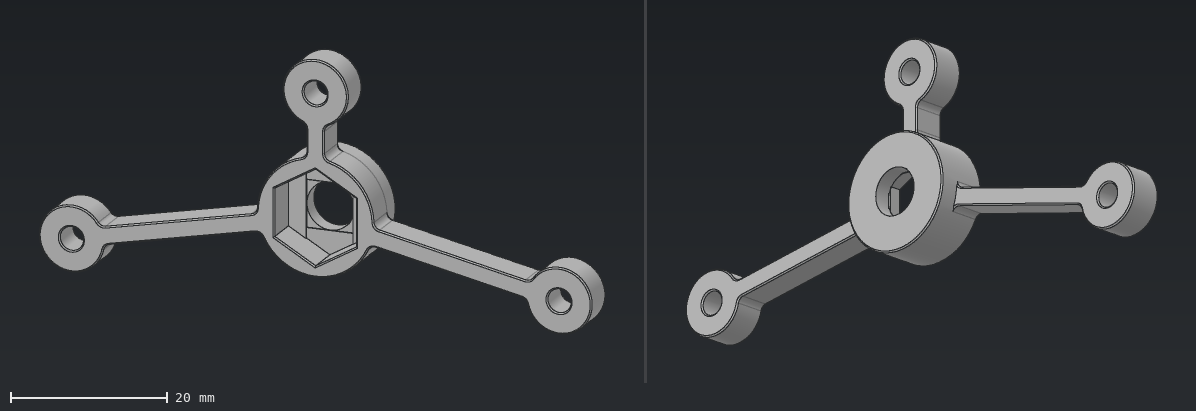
import cadquery as cq
import math

overall_width = 76.0
overall_height = 32.7
overall_depth = 7.6
arm_depth = 4.8
edge_chamfer = 0.2

hub_diameter = 16.05
bore_diameter = 6.5
hex_sides = 6
hex_half_angle = 180 / hex_sides
hex_across_flats = 11.25
hex_pocket_depth = arm_depth
step_depth = 0.2

lug_diameter = 9.0
lug_hole_diameter = 3.2
arm_width = 2.4
junction_radius = 1.0
side_lug_drop = 7.0

lug_radius = lug_diameter / 2
side_lug_x = overall_width / 2 - lug_radius
top_lug_z = overall_height - lug_diameter - side_lug_drop
lug_centers = [
    (0, top_lug_z),
    (-side_lug_x, -side_lug_drop),
    (side_lug_x, -side_lug_drop),
]


def front_plane(depth=0.0):
    """Sketch plane facing the front, set back from the front face by depth."""
    return cq.Workplane("XZ", origin=(0, depth, 0))


def radial_arm(x, z):
    """Straight bar from the hub centre to a lug centre."""
    length = math.hypot(x, z)
    angle = math.degrees(math.atan2(z, x))
    bar = front_plane().center(length / 2, 0).rect(length, arm_width).extrude(-arm_depth)
    return bar.rotate((0, 0, 0), (0, 1, 0), -angle)


def arm_plate():
    """Hub disc, arms and lugs at arm depth, with rounded junctions and chamfered rims."""
    plate = front_plane().circle(hub_diameter / 2).extrude(-arm_depth)
    for x, z in lug_centers:
        plate = plate.union(radial_arm(x, z))
    plate = plate.union(front_plane().pushPoints(lug_centers).circle(lug_radius).extrude(-arm_depth))
    plate = plate.edges("|Y").fillet(junction_radius)
    plate = plate.cut(
        front_plane().pushPoints(lug_centers).circle(lug_hole_diameter / 2).extrude(-arm_depth)
    )
    return plate.faces("<Y or >Y").chamfer(edge_chamfer)


def hub_boss():
    """Hub cylinder, standing out behind the arms."""
    boss = front_plane(edge_chamfer).circle(hub_diameter / 2).extrude(edge_chamfer - overall_depth)
    return boss.faces(">Y").edges().chamfer(edge_chamfer)


def hex_prism(depth, across_flats=hex_across_flats, taper=0):
    """Hexagonal prism from the front face, with two corners pointing up and down."""
    across_corners = across_flats / math.cos(math.radians(hex_half_angle))
    prism = front_plane().polygon(hex_sides, across_corners).extrude(-depth, taper=taper)
    return prism.rotate((0, 0, 0), (0, 1, 0), hex_half_angle)


def pocket_mouth():
    """Tapered hexagon that chamfers the front rim of the nut pocket at 45 degrees."""
    return hex_prism(edge_chamfer, hex_across_flats + 2 * edge_chamfer, taper=45)


def hub_cavity():
    """Nut pocket that steps down to a slot, then a square, then the round bore."""
    slot_depth = hex_pocket_depth + step_depth
    square_depth = slot_depth + step_depth
    slot_band = front_plane().rect(bore_diameter, hub_diameter).extrude(-slot_depth)
    slot = hex_prism(slot_depth).intersect(slot_band)
    square = front_plane().rect(bore_diameter, bore_diameter).extrude(-square_depth)
    bore = front_plane().circle(bore_diameter / 2).extrude(-overall_depth)
    pocket = hex_prism(hex_pocket_depth).union(pocket_mouth())
    return pocket.union(slot).union(square).union(bore)


result = arm_plate().union(hub_boss()).cut(hub_cavity()).solids()